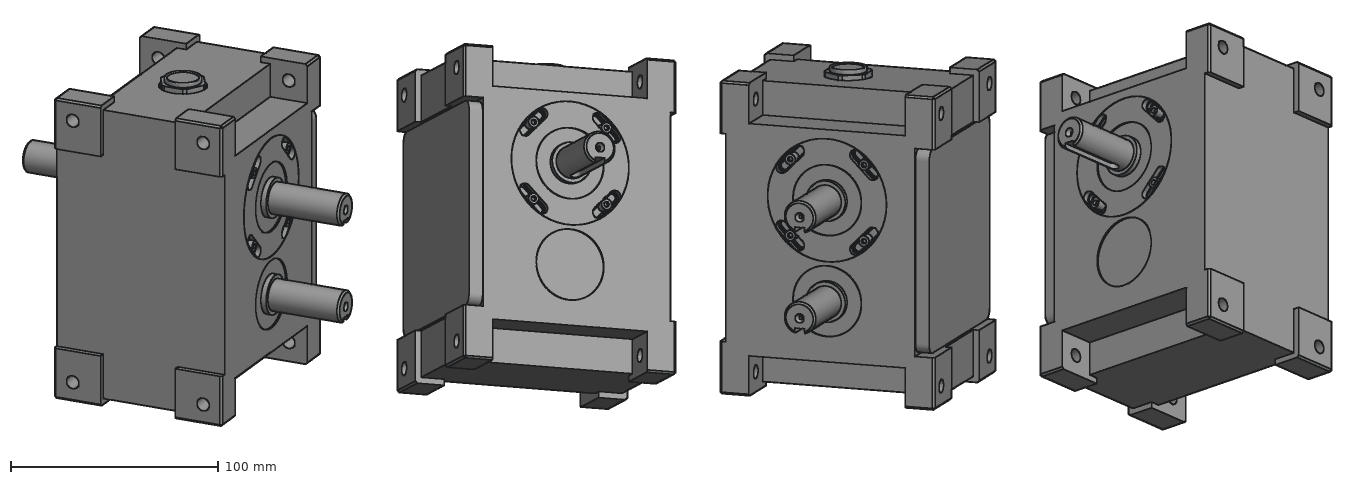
import cadquery as cq
import math

WIDTH = 90.0
DEPTH = 110.0
HEIGHT = 155.0
FOOT_RISE = 3.0
BODY_DEPTH = DEPTH - 2 * FOOT_RISE
BODY_HEIGHT = HEIGHT - 2 * FOOT_RISE

FOOT_WIDTH = 25.0
FOOT_DEPTH = 15.0
FOOT_HEIGHT = 26.0
FOOT_CHAMFER = 1.0
FOOT_HOLE_DIAMETER = 6.6
FOOT_HOLE_INSET = 10.0

STEP_HEIGHT = 20.0
STEP_DEPTH = 20.0
STEP_LENGTH = DEPTH - 2 * FOOT_DEPTH

COVER_THICKNESS = 7.0
COVER_CORNER_RADIUS = 5.0
COVER_GAP = 1.0
RECESS_HEIGHT = HEIGHT - 2 * FOOT_HEIGHT

SHAFT_DISTANCE = 50.0
INPUT_SHAFT_Z = 22.5
OUTPUT_SHAFT_Z = INPUT_SHAFT_Z - SHAFT_DISTANCE
SHAFT_DIAMETER = 16.0
SHAFT_LENGTH = 40.0
SHAFT_CHAMFER = 1.0
COLLAR_DIAMETER = 20.0
COLLAR_LENGTH = 2.0
KEYWAY_WIDTH = 5.0
KEYWAY_DEPTH = 3.0
KEYWAY_LENGTH = 35.0
CENTRE_HOLE_DIAMETER = 2.0
CENTRE_HOLE_DEPTH = 5.0
CENTRE_SINK_DIAMETER = 4.5
CENTRE_SINK_ANGLE = 60.0

SEAL_DIAMETER = 35.0
SEAL_RECESS = 0.8
RING_DIAMETER = 61.0
RING_GROOVE = 0.1
CLAMP_SLOT_RADIUS = 26.7
CLAMP_SLOT_LENGTH = 18.0
CLAMP_SLOT_WIDTH = 5.5
CLAMP_SLOT_DEPTH = 3.0
CLAMP_SLOT_LEDGE = 0.8
CLAMP_SLOT_TOTAL_DEPTH = 5.0
SCREW_DIAMETER = 5.3
SCREW_SOCKET_DIAMETER = 2.5
SCREW_SOCKET_DEPTH = 2.0

PLUG_Y = -5.0
PLUG_HEIGHT = 4.5
PLUG_HEX_HEIGHT = 2.3
PLUG_HEX_FLATS = 21.0
PLUG_HEX_DIAMETER = 23.2
PLUG_CAP_DIAMETER = 18.2
PLUG_RIM_RADIUS = 0.65
SPOT_FACE_DIAMETER = 23.4
SPOT_FACE_DEPTH = 1.0


def body():
    block = cq.Workplane("XY").box(WIDTH, BODY_DEPTH, BODY_HEIGHT)
    recess = cq.Workplane("XY").box(WIDTH, COVER_THICKNESS, RECESS_HEIGHT)
    return block.cut(recess.translate((0, (BODY_DEPTH - COVER_THICKNESS) / 2, 0)))


def foot(x_side, y_side, z_side):
    pad = cq.Workplane("XY").box(FOOT_WIDTH, FOOT_DEPTH, FOOT_HEIGHT)
    pad = pad.edges("(>X and >Y) or (>X and >Z) or (>Y and >Z)").chamfer(FOOT_CHAMFER)
    pad = pad.translate((
        (WIDTH - FOOT_WIDTH) / 2,
        (DEPTH - FOOT_DEPTH) / 2,
        (HEIGHT - FOOT_HEIGHT) / 2,
    ))
    if x_side < 0:
        pad = pad.mirror("YZ")
    if y_side < 0:
        pad = pad.mirror("XZ")
    if z_side < 0:
        pad = pad.mirror("XY")
    return pad


def edge_step(x_side, z_side):
    step = cq.Workplane("XY").box(STEP_DEPTH, STEP_LENGTH, STEP_HEIGHT)
    return step.translate((
        x_side * (WIDTH - STEP_DEPTH) / 2,
        0,
        z_side * (HEIGHT - STEP_HEIGHT) / 2,
    ))


def foot_holes():
    return (
        cq.Workplane("XZ")
        .rect(WIDTH - 2 * FOOT_HOLE_INSET, HEIGHT - 2 * FOOT_HOLE_INSET, forConstruction=True)
        .vertices()
        .circle(FOOT_HOLE_DIAMETER / 2)
        .extrude(DEPTH / 2, both=True)
    )


def cover():
    plate = cq.Workplane("XY").box(
        WIDTH - 2 * COVER_GAP,
        COVER_THICKNESS,
        RECESS_HEIGHT - 2 * COVER_GAP,
    )
    plate = plate.edges("|Y").fillet(COVER_CORNER_RADIUS)
    return plate.translate((0, (BODY_DEPTH - COVER_THICKNESS) / 2, 0))


def shaft_face(z):
    """Workplane on the +X face at height z, looking outwards."""
    return cq.Workplane("YZ", origin=(WIDTH / 2, 0, z))


def seal_recess(z):
    return shaft_face(z).circle(SEAL_DIAMETER / 2).extrude(-SEAL_RECESS)


def shaft_end(z):
    """Shaft end on the +X side, with collar, open keyway underneath and centre hole."""
    tip = WIDTH / 2 + SHAFT_LENGTH
    shaft = shaft_face(z).circle(SHAFT_DIAMETER / 2).extrude(SHAFT_LENGTH)
    shaft = shaft.faces(">X").chamfer(SHAFT_CHAMFER)
    collar = shaft_face(z).circle(COLLAR_DIAMETER / 2).extrude(COLLAR_LENGTH)
    root = shaft_face(z).circle(COLLAR_DIAMETER / 2).extrude(-SEAL_RECESS)
    shaft = shaft.union(collar).union(root)
    keyway = (
        cq.Workplane("XY", origin=(tip, 0, z - SHAFT_DIAMETER / 2))
        .slot2D(2 * KEYWAY_LENGTH, KEYWAY_WIDTH)
        .extrude(KEYWAY_DEPTH)
    )
    shaft = shaft.cut(keyway)
    return shaft.faces(">X").workplane(origin=(tip, 0, z)).cskHole(
        CENTRE_HOLE_DIAMETER, CENTRE_SINK_DIAMETER, CENTRE_SINK_ANGLE, CENTRE_HOLE_DEPTH
    )


def ring_joint():
    return (
        shaft_face(INPUT_SHAFT_Z)
        .circle(RING_DIAMETER / 2)
        .circle(RING_DIAMETER / 2 - RING_GROOVE)
        .extrude(-RING_GROOVE)
    )


def clamp_slot(angle):
    """Stepped slot along the ring, with a socket screw head left standing at its middle."""
    def at_slot():
        return shaft_face(0).center(CLAMP_SLOT_RADIUS, 0)

    inner_length = CLAMP_SLOT_LENGTH - 2 * CLAMP_SLOT_LEDGE
    inner_width = CLAMP_SLOT_WIDTH - 2 * CLAMP_SLOT_LEDGE
    slot = at_slot().slot2D(CLAMP_SLOT_LENGTH, CLAMP_SLOT_WIDTH, 90).extrude(-CLAMP_SLOT_DEPTH)
    slot = slot.union(at_slot().slot2D(inner_length, inner_width, 90).extrude(-CLAMP_SLOT_TOTAL_DEPTH))
    screw = at_slot().circle(SCREW_DIAMETER / 2).extrude(-CLAMP_SLOT_TOTAL_DEPTH)
    socket = at_slot().circle(SCREW_SOCKET_DIAMETER / 2).extrude(-SCREW_SOCKET_DEPTH)
    pocket = slot.cut(screw).union(socket)
    return pocket.rotate((0, 0, 0), (1, 0, 0), angle).translate((0, 0, INPUT_SHAFT_Z))


def plug_floor():
    return cq.Workplane("XY", origin=(0, PLUG_Y, BODY_HEIGHT / 2 - SPOT_FACE_DEPTH))


def spot_face():
    return plug_floor().circle(SPOT_FACE_DIAMETER / 2).extrude(SPOT_FACE_DEPTH)


def breather_plug():
    hex_height = SPOT_FACE_DEPTH + PLUG_HEX_HEIGHT
    hexagon = plug_floor().polygon(6, PLUG_HEX_FLATS / math.cos(math.pi / 6)).extrude(hex_height)
    hexagon = hexagon.intersect(plug_floor().circle(PLUG_HEX_DIAMETER / 2).extrude(hex_height))

    cap_radius = PLUG_CAP_DIAMETER / 2
    cap_top = SPOT_FACE_DEPTH + PLUG_HEIGHT
    dish_radius = cap_radius - 2 * PLUG_RIM_RADIUS
    dish_floor = cap_top - PLUG_RIM_RADIUS
    cap = (
        cq.Workplane("XZ", origin=plug_floor().plane.origin.toTuple())
        .lineTo(cap_radius, 0)
        .lineTo(cap_radius, dish_floor)
        .threePointArc((cap_radius - PLUG_RIM_RADIUS, cap_top), (dish_radius, dish_floor))
        .lineTo(0, dish_floor)
        .close()
        .revolve(360, (0, 0), (0, 1))
    )
    return hexagon.union(cap)


SIDES = (-1, 1)
CLAMP_SLOT_ANGLES = (45, 135, 225, 315)

result = body()
for z_side in SIDES:
    for x_side in SIDES:
        result = result.cut(edge_step(x_side, z_side))
        for y_side in SIDES:
            result = result.union(foot(x_side, y_side, z_side))
result = result.cut(foot_holes()).union(cover())

for z in (INPUT_SHAFT_Z, OUTPUT_SHAFT_Z):
    result = result.cut(seal_recess(z)).cut(seal_recess(z).mirror("YZ"))
    result = result.union(shaft_end(z))
result = result.union(shaft_end(INPUT_SHAFT_Z).mirror("YZ"))

face_cuts = ring_joint()
for angle in CLAMP_SLOT_ANGLES:
    face_cuts = face_cuts.union(clamp_slot(angle))
result = result.cut(face_cuts).cut(face_cuts.mirror("YZ"))

result = result.cut(spot_face()).union(breather_plug())